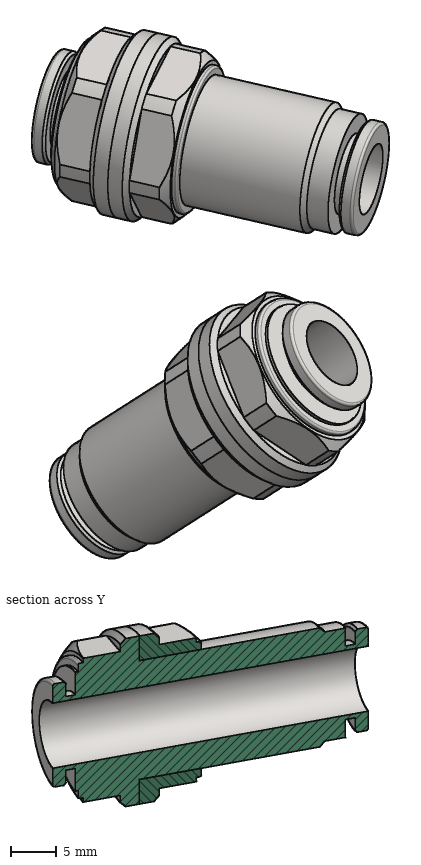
import cadquery as cq


total_length = 37.6
bore_radius = 4.02
tube_radius = 7.45
tube_start = 2.67
tube_end = 32.4
tube_end_chamfer = 0.6
tail_radius = 6.85
tail_end = 34.9

ring_radius = 6.45
ring_width = 1.6
ring_edge = 0.3
neck_radius = 4.62

joint_x = 10.38
flange_diameter = 21.0
flange_width = 2.35
flange_chamfer = 0.65
hex_sides = 6
hex_flat_radius = 9.0
hex_corner_radius = 9.9
hex_end_chamfer = 0.95
hex_end = 6.75
collar_radius = 8.45
collar_end = 7.37
collar_fillet = 0.25


def cylinder_x(radius, x_start, x_end):
    """Solid cylinder on the X axis between two positions."""
    return cq.Workplane("YZ").workplane(offset=x_start).circle(radius).extrude(x_end - x_start)


def make_hex():
    """Hex prism with flats facing +/-Z, its corners turned round and its outer end chamfered."""
    flat_turn = 180 / hex_sides
    turned_blank = cylinder_x(hex_corner_radius, 0, hex_end).faces(">X").chamfer(hex_end_chamfer)
    prism = (
        cq.Workplane("YZ")
        .polygon(hex_sides, 2 * hex_flat_radius, circumscribed=True)
        .extrude(hex_end)
        .rotate((0, 0, 0), (1, 0, 0), flat_turn)
    )
    return prism.intersect(turned_blank)


def make_head():
    """Flange, hex and collar stacked from the plane X = 0 toward +X."""
    flange = cylinder_x(flange_diameter / 2, 0, flange_width).faces(">X").chamfer(flange_chamfer)
    collar = cylinder_x(collar_radius, 0, collar_end).faces(">X").edges().fillet(collar_fillet)
    return flange.union(make_hex()).union(collar)


def make_release_sleeve(length):
    """Neck with an end ring: ring face at X = 0, neck reaching in to X = length."""
    ring = (
        cylinder_x(ring_radius, 0, ring_width)
        .faces(">X").chamfer(ring_edge)
        .faces("<X").edges().fillet(ring_edge)
    )
    return ring.union(cylinder_x(neck_radius, 0, length))


def make_fitting():
    """Fitting body: tube, tail, left-hand head and both release sleeves, bored through."""
    tube = cylinder_x(tube_radius, tube_start, tube_end).faces(">X").chamfer(tube_end_chamfer)
    tail = cylinder_x(tail_radius, tube_start, tail_end)
    head = make_head().mirror("YZ").translate((joint_x, 0, 0))
    left_sleeve = make_release_sleeve(tube_start)
    right_sleeve = make_release_sleeve(total_length - tail_end).mirror("YZ").translate((total_length, 0, 0))
    outside = tube.union(tail).union(head).union(left_sleeve).union(right_sleeve)
    return outside.cut(cylinder_x(bore_radius, 0, total_length))


def make_lock_nut():
    """Lock nut seated against the body's flange, bored to fit the tube."""
    nut = make_head().cut(cylinder_x(tube_radius, 0, collar_end))
    return nut.translate((joint_x, 0, 0))


fitting = make_fitting()
lock_nut = make_lock_nut()

result = cq.Compound.makeCompound([fitting.val(), lock_nut.val()])